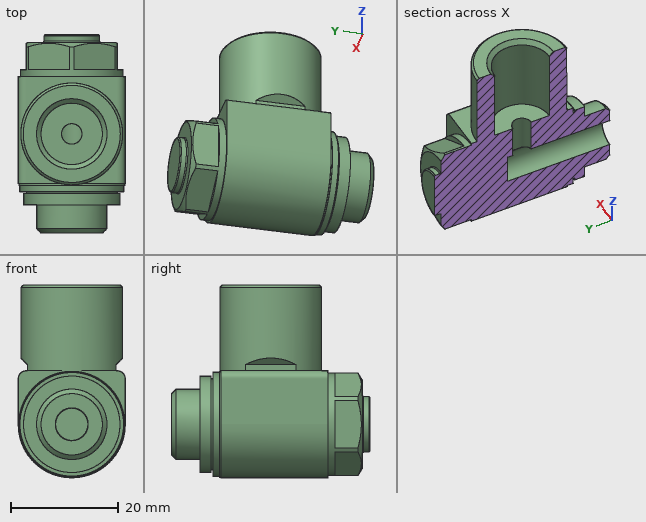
import cadquery as cq
import math

body_width = 20.0
body_radius = body_width / 2
body_top = body_radius
body_front = -9.3
body_back = 10.67
body_edge_radius = 1.52

post_diameter = 19.0
post_top = 26.0
post_chamfer = 0.45
post_flat_offset = 8.25
post_flat_top = 11.1
port_diameter = 11.45
port_mouth_diameter = 13.15
port_floor = body_top
passage_diameter = 3.8

ring_diameter = 19.5
ring_front = -10.82
ring_edge_chamfer = 0.07
ring_step_diameter = 19.8
ring_step_length = 0.3
ring_step_front = body_front - ring_step_length
neck_diameter = 17.0
flange_diameter = 18.0
flange_back = -11.1
flange_front = -13.23
spigot_diameter = port_mouth_diameter
spigot_front = -18.52
spigot_chamfer = (spigot_diameter - port_diameter) / 2
bore_diameter = 6.0
bore_end = bore_diameter / 2
bore_edge_chamfer = 0.07

washer_diameter = 19.2
washer_back = 12.0
hex_across_flats = 17.0
hex_corner_diameter = 19.2
hex_back = 17.08
hex_face_diameter = 16.45
hex_chamfer_angle = 31.0
stub_diameter = 10.4
stub_back = 18.52
stub_chamfer = 0.22
stub_root_diameter = 10.65
stub_root_length = 0.25


def disc(diameter, y_start, y_end):
    """Cylinder along the barrel axis from y_start back to y_end."""
    plane = cq.Workplane("XZ", origin=(0, y_start, 0))
    return plane.circle(diameter / 2).extrude(y_start - y_end)


def make_body():
    profile = (
        cq.Workplane("XZ", origin=(0, body_front, 0))
        .moveTo(-body_radius, 0)
        .lineTo(-body_radius, body_top)
        .lineTo(body_radius, body_top)
        .lineTo(body_radius, 0)
        .threePointArc((0, -body_radius), (-body_radius, 0))
        .close()
    )
    block = profile.extrude(body_front - body_back)
    return block.edges("|Y and >Z").fillet(body_edge_radius)


def make_post():
    post = cq.Workplane("XY").circle(post_diameter / 2).extrude(post_top)
    post = post.faces(">Z").edges().chamfer(post_chamfer)
    flat_depth = post_diameter / 2 - post_flat_offset
    for side in (-1, 1):
        relief = (
            cq.Workplane("XZ")
            .moveTo(side * post_flat_offset, 0)
            .lineTo(side * post_flat_offset, post_flat_top)
            .lineTo(side * (post_flat_offset + 2 * flat_depth), post_flat_top + 2 * flat_depth)
            .lineTo(side * (post_flat_offset + 2 * flat_depth), 0)
            .close()
            .extrude(post_diameter / 2, both=True)
        )
        post = post.cut(relief)
    return post


def make_front_end():
    spigot = disc(spigot_diameter, spigot_front, flange_front)
    spigot = spigot.faces("<Y").edges().chamfer(spigot_chamfer)
    ring = disc(ring_diameter, ring_front, ring_step_front)
    ring = ring.faces("<Y").edges().chamfer(ring_edge_chamfer)
    return (
        spigot.union(disc(flange_diameter, flange_front, flange_back))
        .union(disc(neck_diameter, flange_back, ring_front))
        .union(ring)
        .union(disc(ring_step_diameter, ring_step_front, body_front))
    )


def make_hex_head():
    across_corners = hex_across_flats / math.cos(math.radians(30))
    length = hex_back - washer_back
    prism = (
        cq.Workplane("XZ", origin=(0, washer_back, 0))
        .transformed(rotate=(0, 0, 90))
        .polygon(6, across_corners)
        .extrude(-length)
    )
    corner_radius = hex_corner_diameter / 2
    face_radius = hex_face_diameter / 2
    bevel_length = (corner_radius - face_radius) * math.tan(math.radians(hex_chamfer_angle))
    blank = (
        cq.Workplane("XY")
        .moveTo(0, washer_back)
        .lineTo(corner_radius, washer_back)
        .lineTo(corner_radius, hex_back - bevel_length)
        .lineTo(face_radius, hex_back)
        .lineTo(0, hex_back)
        .close()
        .revolve(360, (0, 0, 0), (0, 1, 0))
    )
    return prism.intersect(blank)


def make_back_end():
    stub = disc(stub_diameter, hex_back, stub_back)
    stub = stub.faces(">Y").edges().chamfer(stub_chamfer)
    root = (
        cq.Workplane("XZ", origin=(0, hex_back, 0))
        .circle(stub_root_diameter / 2)
        .workplane(offset=-stub_root_length)
        .circle(stub_diameter / 2)
        .loft()
    )
    washer = disc(washer_diameter, body_back, washer_back)
    return washer.union(make_hex_head()).union(root).union(stub)


def make_port():
    """Countersunk port in the post and the narrow passage down to the bore."""
    mouth_depth = (port_mouth_diameter - port_diameter) / 2
    port_depth = post_top - port_floor
    port = cq.Workplane("XY", origin=(0, 0, port_floor)).circle(port_diameter / 2).extrude(port_depth)
    mouth = (
        cq.Workplane("XY", origin=(0, 0, post_top))
        .circle(port_mouth_diameter / 2)
        .workplane(offset=-mouth_depth)
        .circle(port_diameter / 2)
        .loft()
    )
    passage = cq.Workplane("XY").circle(passage_diameter / 2).extrude(port_floor)
    return port.union(mouth).union(passage)


solid = make_body().union(make_post()).union(make_front_end()).union(make_back_end())
solid = solid.cut(make_port()).cut(disc(bore_diameter, spigot_front, bore_end))

bore_rim = cq.selectors.RadiusNthSelector(0)
result = solid.faces("<Y").edges(bore_rim).chamfer(bore_edge_chamfer)